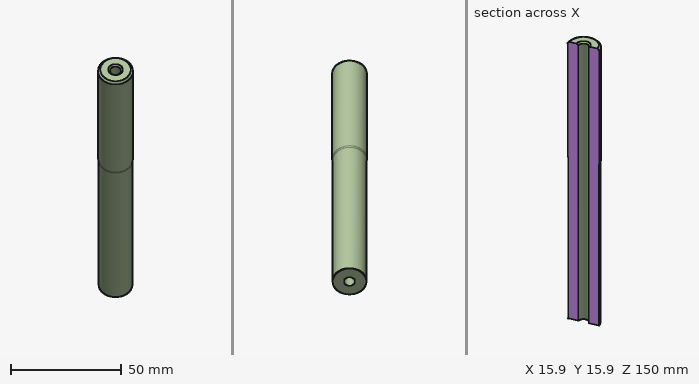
import cadquery as cq

length = 150.0
head_diameter = 15.9
shank_diameter = 15.5
shoulder_height = 87.9
shoulder_taper = 0.9
top_chamfer = 1.0
bottom_chamfer = 0.2
bore_diameter = 5.0
countersink_diameter = 6.6

head_radius = head_diameter / 2
shank_radius = shank_diameter / 2
bore_radius = bore_diameter / 2
countersink_radius = countersink_diameter / 2
countersink_depth = countersink_radius - bore_radius


def stepped_rod():
    """Half section of the shank, tapered shoulder and head, revolved about Z."""
    return (
        cq.Workplane("XZ")
        .moveTo(0, 0)
        .lineTo(shank_radius - bottom_chamfer, 0)
        .lineTo(shank_radius, bottom_chamfer)
        .lineTo(shank_radius, shoulder_height - shoulder_taper)
        .lineTo(head_radius, shoulder_height)
        .lineTo(head_radius, length - top_chamfer)
        .lineTo(head_radius - top_chamfer, length)
        .lineTo(0, length)
        .close()
        .revolve(360, (0, 0, 0), (0, 1, 0))
    )


def countersunk_bore():
    """Through bore along Z, flared at the top."""
    return (
        cq.Workplane("XZ")
        .moveTo(0, 0)
        .lineTo(bore_radius, 0)
        .lineTo(bore_radius, length - countersink_depth)
        .lineTo(countersink_radius, length)
        .lineTo(0, length)
        .close()
        .revolve(360, (0, 0, 0), (0, 1, 0))
    )


result = stepped_rod().cut(countersunk_bore()).translate((0, 0, -length / 2))